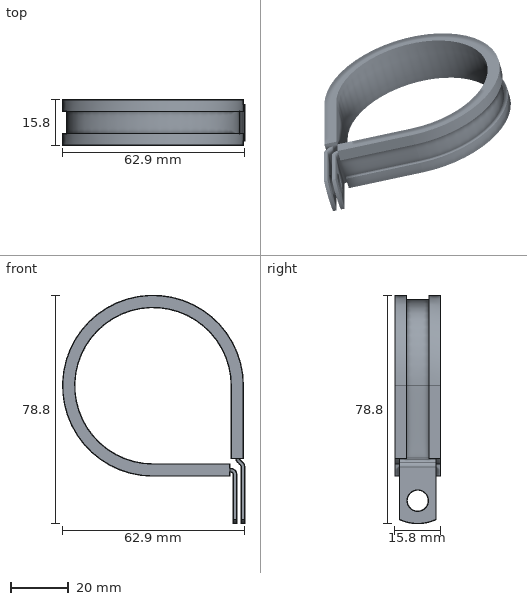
import cadquery as cq
import math

cushion_width = 15.75
outer_radius = 31.2
cushion_thickness = 4.25
inner_radius = outer_radius - cushion_thickness
bottom_leg_length = 26.5
side_leg_length = 25.1
groove_width = 7.7
groove_depth = 1.4

strap_width = 12.6
strap_thickness = 1.3
strap_radius = outer_radius - groove_depth - strap_thickness / 2

tab_tip_z = -47.6
tab_tip_sag = 1.4
inner_tab_x = 28.3
outer_tab_x = 31.05
hole_diameter = 7.25
hole_z = -39.6

corner_bend_radius = 1.5
jog_bend_radius = 1.6
jog_angle = math.radians(45)
jog_end_z = -28.05

diagonal = math.sqrt(0.5)


def band(outside, inside):
    """Closed outline of the loop and its legs between two radii."""
    return (
        cq.Workplane("XZ")
        .moveTo(bottom_leg_length, -outside)
        .lineTo(0, -outside)
        .threePointArc((-outside * diagonal, outside * diagonal), (outside, 0))
        .lineTo(outside, -side_leg_length)
        .lineTo(inside, -side_leg_length)
        .lineTo(inside, 0)
        .threePointArc((-inside * diagonal, inside * diagonal), (0, -inside))
        .lineTo(bottom_leg_length, -inside)
        .close()
    )


def make_cushion():
    body = band(outer_radius, inner_radius).extrude(cushion_width / 2, both=True)
    groove = band(outer_radius, outer_radius - groove_depth).extrude(groove_width / 2, both=True)
    return body.cut(groove)


def strap_path():
    """Middle line of the strap, from the inner tab tip round to the outer tab tip."""
    corner_x = inner_tab_x - corner_bend_radius
    corner_z = -strap_radius - corner_bend_radius
    bend_shift = jog_bend_radius * (1 - math.cos(jog_angle))
    bend_drop = jog_bend_radius * math.sin(jog_angle)
    slope_shift = outer_tab_x - strap_radius - 2 * bend_shift
    slope_drop = slope_shift / math.tan(jog_angle)
    jog_start_z = jog_end_z + 2 * bend_drop + slope_drop
    return (
        cq.Workplane("XZ")
        .moveTo(inner_tab_x, tab_tip_z)
        .lineTo(inner_tab_x, corner_z)
        .threePointArc(
            (corner_x + corner_bend_radius * diagonal, corner_z + corner_bend_radius * diagonal),
            (corner_x, -strap_radius),
        )
        .lineTo(0, -strap_radius)
        .threePointArc((-strap_radius * diagonal, strap_radius * diagonal), (strap_radius, 0))
        .lineTo(strap_radius, jog_start_z)
        .tangentArcPoint((strap_radius + bend_shift, jog_start_z - bend_drop), relative=False)
        .lineTo(outer_tab_x - bend_shift, jog_end_z + bend_drop)
        .tangentArcPoint((outer_tab_x, jog_end_z), relative=False)
        .lineTo(outer_tab_x, tab_tip_z)
    )


def make_strap():
    section = cq.Workplane("XY", origin=(inner_tab_x, 0, tab_tip_z)).rect(strap_thickness, strap_width)
    strap = section.sweep(strap_path())

    half_width = strap_width / 2
    tip_corner_z = tab_tip_z + tab_tip_sag
    below_tip_z = tab_tip_z - tab_tip_sag
    tip_waste = (
        cq.Workplane("YZ")
        .moveTo(-half_width, tip_corner_z)
        .threePointArc((0, tab_tip_z), (half_width, tip_corner_z))
        .lineTo(half_width, below_tip_z)
        .lineTo(-half_width, below_tip_z)
        .close()
        .extrude(2 * outer_tab_x)
    )
    bolt_hole = (
        cq.Workplane("YZ")
        .center(0, hole_z)
        .circle(hole_diameter / 2)
        .extrude(2 * outer_tab_x)
    )
    return strap.cut(tip_waste).cut(bolt_hole)


result = make_cushion().union(make_strap())